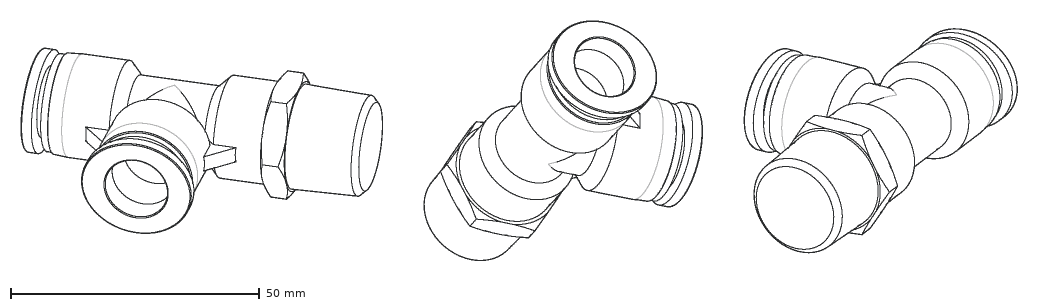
import cadquery as cq
import math


port_reach = 29.0
neck_radius = 8.0
barrel_radius = 10.5
socket_radius = 10.6
socket_shoulder = 10.8
band_start = 20.65
band_end = 23.65
band_end_radius = 10.35
lip_radius = 20.0 / 2
lip_end = 25.2
bore_radius = 13.0 / 2
bore_depth = 14.0
barrel_shoulder = 11.0
web_thickness = 3.3
web_offset = 26.1
web_root = 7.0

flange_width = 22.95
flange_height = 20.65
flange_thickness = 2.25
flange_chamfer = 0.2
sleeve_radius = 14.8 / 2
collar_length = 5.45
mouth_chamfer = 0.2

overall_length = 70.0
stud_end = overall_length - port_reach
hex_start = 21.1
hex_thickness = 5.0
hex_across_flats = 22.25
hex_across_corners = hex_across_flats / math.cos(math.pi / 6)
hex_face_radius = 11.2
hex_chamfer_length = 0.85
thread_root_radius = 10.7
thread_taper = 1 / 16
thread_chamfer = 1.25


def revolve_profile(points):
    """Turn (radius, height) points about the Z axis."""
    return cq.Workplane("XZ").polyline(points).close().revolve(360, (0, 0, 0), (0, 1, 0))


def to_branch(shape):
    """Lay a shape built along +Z onto the branch axis, -Y."""
    return shape.rotate((0, 0, 0), (1, 0, 0), 90)


def to_run(shape):
    """Lay a shape built along +Z onto the push-in end of the run, -X."""
    return to_branch(shape).rotate((0, 0, 0), (0, 0, 1), -90)


def to_stud(shape):
    """Lay a shape built along +Z onto the stud end of the run, +X."""
    return shape.rotate((0, 0, 0), (0, 1, 0), 90)


def socket_outline():
    """(radius, height) points of a push-in end, from the neck to the axis at the lip."""
    return [
        (neck_radius, socket_shoulder - (socket_radius - neck_radius)),
        (socket_radius, socket_shoulder),
        (socket_radius, band_start),
        (band_end_radius, band_end),
        (lip_radius, band_end),
        (lip_radius, lip_end),
        (0, lip_end),
    ]


def make_branch():
    return to_branch(revolve_profile([(0, 0), (neck_radius, 0)] + socket_outline()))


def make_run():
    """Push-in end, neck and stud-side barrel as one turned shape."""
    barrel_outline = [
        (0, -hex_start),
        (barrel_radius, -hex_start),
        (barrel_radius, -barrel_shoulder),
        (neck_radius, -barrel_shoulder + barrel_radius - neck_radius),
    ]
    return to_run(revolve_profile(barrel_outline + socket_outline()))


def make_webs():
    """Corner webs on both sides of the branch, as one plate through the tee."""
    web_far = web_offset - web_root
    return (
        cq.Workplane("XY")
        .polyline([(-web_far, -web_root), (web_far, -web_root), (web_root, -web_far), (-web_root, -web_far)])
        .close()
        .extrude(web_thickness / 2, both=True)
    )


def make_socket_bore():
    """Tube bore, widened at its mouth to hold the collar sleeve."""
    floor = port_reach - bore_depth
    sleeve_seat = port_reach - collar_length
    return revolve_profile([
        (0, floor),
        (bore_radius, floor),
        (bore_radius, sleeve_seat),
        (sleeve_radius, sleeve_seat),
        (sleeve_radius, port_reach),
        (0, port_reach),
    ])


def make_tee():
    bore = make_socket_bore()
    tee = make_run().union(make_branch()).union(make_webs())
    return tee.cut(to_run(bore)).cut(to_branch(bore))


def make_collar():
    """Release collar along +Z, with its outer face at the port reach."""
    flange = (
        cq.Workplane("XY")
        .workplane(offset=port_reach - flange_thickness)
        .ellipse(flange_width / 2, flange_height / 2)
        .extrude(flange_thickness)
        .faces(">Z")
        .chamfer(flange_chamfer)
    )
    sleeve_start = port_reach - collar_length
    sleeve = cq.Workplane("XY").workplane(offset=sleeve_start).circle(sleeve_radius)
    sleeve = sleeve.extrude(collar_length - flange_thickness)
    opening = revolve_profile([
        (0, sleeve_start),
        (bore_radius, sleeve_start),
        (bore_radius, port_reach - mouth_chamfer),
        (bore_radius + mouth_chamfer, port_reach),
        (0, port_reach),
    ])
    return flange.union(sleeve).cut(opening)


def make_hexagon():
    """Hexagon along +Z with corners on Y once laid on the stud, both ends chamfered."""
    hex_end = hex_start + hex_thickness
    corner_radius = hex_across_corners / 2
    prism = (
        cq.Workplane("XY")
        .workplane(offset=hex_start)
        .transformed(rotate=(0, 0, 90))
        .polygon(6, hex_across_corners)
        .extrude(hex_thickness)
    )
    envelope = revolve_profile([
        (0, hex_start),
        (hex_face_radius, hex_start),
        (corner_radius, hex_start + hex_chamfer_length),
        (corner_radius, hex_end - hex_chamfer_length),
        (hex_face_radius, hex_end),
        (0, hex_end),
    ])
    return prism.intersect(envelope)


def make_stud():
    thread_start = hex_start + hex_thickness
    chamfer_start = stud_end - thread_chamfer
    thread_end_radius = thread_root_radius - (chamfer_start - thread_start) * thread_taper / 2
    thread = revolve_profile([
        (0, thread_start),
        (thread_root_radius, thread_start),
        (thread_end_radius, chamfer_start),
        (thread_end_radius - thread_chamfer, stud_end),
        (0, stud_end),
    ])
    return to_stud(make_hexagon().union(thread))


tee = make_tee()
collars = [place(make_collar()) for place in (to_run, to_branch)]
stud = make_stud()

result = cq.Compound.makeCompound([
    *tee.solids().vals(),
    *[collar.solids().val() for collar in collars],
    *stud.solids().vals(),
])